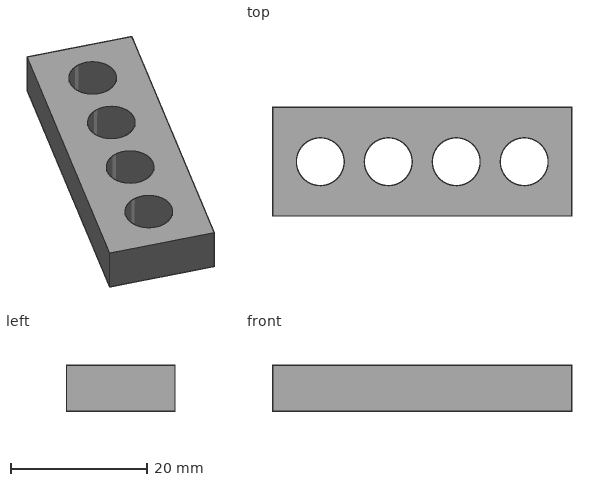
import cadquery as cq

length = 44.0
width = 16.0
height = 6.8

hole_count = 4
hole_diameter = 7.0
hole_pitch = 10.0

plate = cq.Workplane("XY").box(length, width, height)

result = (
    plate.faces(">Z")
    .workplane()
    .rarray(hole_pitch, 0.45, hole_count, 1)
    .hole(hole_diameter)
)